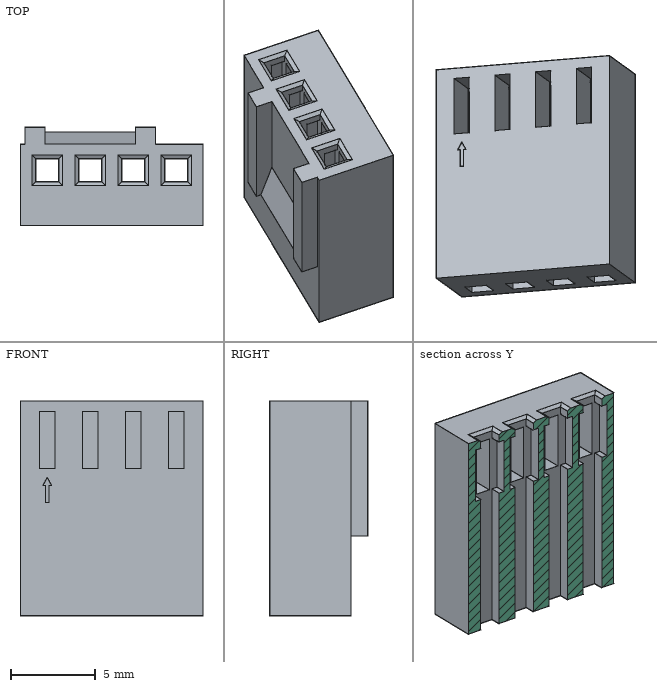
import cadquery as cq
body_width = 10.8
body_depth = 4.81
body_height = 12.7

contact_count = 4
contact_pitch = 2.54
first_contact_x = (body_width - (contact_count - 1) * contact_pitch) / 2
contact_xs = [first_contact_x + i * contact_pitch for i in range(contact_count)]

passage_size = 1.35
passage_y = 3.26
funnel_size = 1.83
funnel_depth = 0.14

window_width = 0.94
window_bottom = 8.7
window_top = 12.08
chamber_width = 2.08
chamber_front = passage_y - passage_size / 2
chamber_back = 3.44

rib_width = 1.2
rib_projection = 1.0
rib_bottom = 4.7
rib_lefts = [0.27, 6.8]

ramp_projection = 0.71
ramp_slope = 3.0
ramp_top = rib_bottom + ramp_slope * ramp_projection

arrow_tip = 8.17
arrow_head_base = 7.71
arrow_tail = 6.69
arrow_head_half = 0.25
arrow_shaft_half = 0.1
arrow_depth = 0.05


def box(x_range, y_range, z_range):
    """Box spanning the given (low, high) range along each axis."""
    sizes = [high - low for low, high in (x_range, y_range, z_range)]
    corner = (x_range[0], y_range[0], z_range[0])
    return cq.Workplane("XY").box(*sizes, centered=False).translate(corner)


def centred(middle, size):
    """(low, high) range of the given size about its middle."""
    return middle - size / 2, middle + size / 2


def ribs_and_ramp():
    """Two guide ribs on the rear face with the locking ramp filling the gap between them."""
    rear = (body_depth, body_depth + rib_projection)
    left_rib, right_rib = [
        box((left, left + rib_width), rear, (rib_bottom, body_height)) for left in rib_lefts
    ]
    ramp_left = rib_lefts[0] + rib_width
    ramp = (
        cq.Workplane("YZ", origin=(ramp_left, 0, 0))
        .moveTo(body_depth, rib_bottom)
        .lineTo(body_depth + ramp_projection, rib_bottom)
        .lineTo(body_depth, ramp_top)
        .close()
        .extrude(rib_lefts[1] - ramp_left)
    )
    return left_rib.union(right_rib).union(ramp)


def contact_cavity(x):
    """Through passage, entry funnel, front window and inner chamber of one contact."""
    passage = box(centred(x, passage_size), centred(passage_y, passage_size), (0, body_height))
    funnel = (
        cq.Workplane("XY", origin=(x, passage_y, body_height - funnel_depth))
        .rect(passage_size, passage_size)
        .workplane(offset=funnel_depth)
        .rect(funnel_size, funnel_size)
        .loft(ruled=True)
    )
    window_heights = (window_bottom, window_top)
    window = box(centred(x, window_width), (0, chamber_back), window_heights)
    chamber = box(centred(x, chamber_width), (chamber_front, chamber_back), window_heights)
    return passage.union(funnel).union(window).union(chamber)


def pin_one_arrow():
    """Upward arrow marking the first contact, cut into the front face."""
    right_side = [
        (arrow_head_half, arrow_head_base),
        (arrow_shaft_half, arrow_head_base),
        (arrow_shaft_half, arrow_tail),
    ]
    left_side = [(-x, z) for x, z in reversed(right_side)]
    outline = [(0, arrow_tip)] + right_side + left_side
    plane = cq.Workplane("XZ", origin=(first_contact_x, 0, 0))
    return plane.polyline(outline).close().extrude(-arrow_depth)


result = box((0, body_width), (0, body_depth), (0, body_height)).union(ribs_and_ramp())
for contact_x in contact_xs:
    result = result.cut(contact_cavity(contact_x))
result = result.cut(pin_one_arrow())